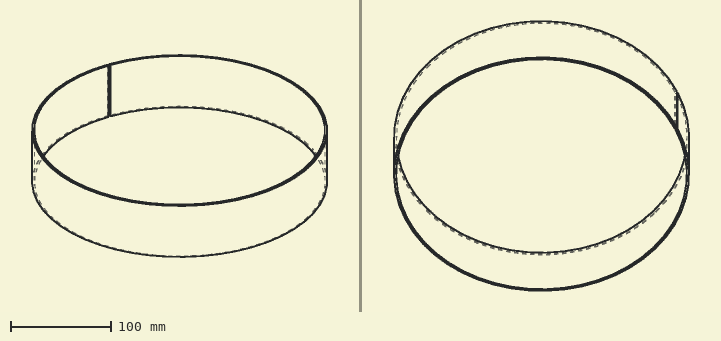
import cadquery as cq
import math

outer_diameter = 295.0
wall_thickness = 2.5
band_height = 60.0
outer_chamfer = 0.5
inner_chamfer = 0.2
split_angle = 1.0

outer_radius = outer_diameter / 2
inner_radius = outer_radius - wall_thickness


def make_band():
    """Thin-walled cylindrical band standing on the XY plane."""
    return cq.Workplane("XY").circle(outer_radius).circle(inner_radius).extrude(band_height)


def make_split_wedge():
    """Wedge from the band's axis to beyond its wall: one side on -X, the other turned toward +Y."""
    reach = outer_diameter
    return (
        cq.Workplane("XY")
        .lineTo(-reach, 0)
        .lineTo(-reach, reach * math.tan(math.radians(split_angle)))
        .close()
        .extrude(band_height)
    )


def chamfer_rims(band):
    """Chamfer the top and bottom rims, outside and inside."""
    largest_radius = cq.selectors.RadiusNthSelector(-1)
    smallest_radius = cq.selectors.RadiusNthSelector(0)
    band = band.edges(largest_radius).chamfer(outer_chamfer)
    return band.edges(smallest_radius).chamfer(inner_chamfer)


split_band = make_band().cut(make_split_wedge())
result = chamfer_rims(split_band)